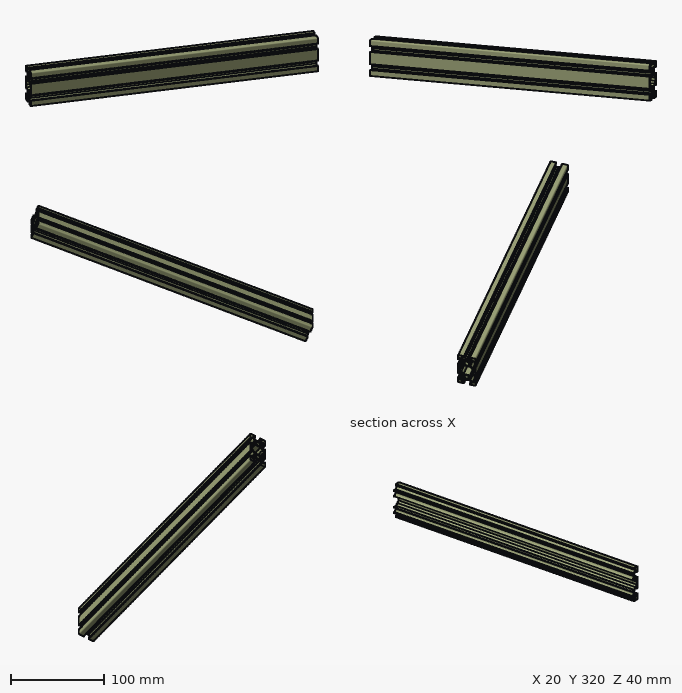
import cadquery as cq

LENGTH = 320
HEIGHT = 40.0
WIDTH = HEIGHT / 2
CELL_OFFSET = HEIGHT / 4
CORNER_RADIUS = 1.45
BORE_DIAMETER = 5.0

LIP_WIDTH = 6.7
SLOT_OPENING = WIDTH - 2 * LIP_WIDTH
LIP_THICKNESS = 1.8
UNDERCUT_WIDTH = 11.0
CORE_WIDTH = 8.0
FLOOR_WIDTH = 5.5

GROOVE_WIDTH = 1.0
GROOVE_DEPTH = 0.3

CAVITY_WIDTH = 16.0
CAVITY_HEIGHT = 12.5
CAVITY_CHAMFER = 4.5


def extrude_outline(points):
    """Extrude a closed XZ outline over the full length, centred on Y."""
    return cq.Workplane("XZ").polyline(points).close().extrude(LENGTH / 2, both=True)


def bar(width, height):
    """Full-length rectangular bar centred on the origin."""
    return cq.Workplane("XY").box(width, LENGTH, height)


def t_slot():
    """Cutter for one slot of a cell centred on the origin, open towards +Z."""
    face = WIDTH / 2
    floor = CORE_WIDTH / 2
    lip = face - LIP_THICKNESS
    undercut = UNDERCUT_WIDTH / 2
    web_top = floor + undercut - FLOOR_WIDTH / 2
    right_half = [
        (GROOVE_WIDTH / 2, floor),
        (FLOOR_WIDTH / 2, floor),
        (undercut, web_top),
        (undercut, lip),
        (SLOT_OPENING / 2, lip),
        (SLOT_OPENING / 2, face),
    ]
    left_half = [(-x, z) for x, z in reversed(right_half)]
    return extrude_outline([(0, floor - GROOVE_DEPTH)] + right_half + left_half)


def cell_cuts(side):
    """Two side slots, one end slot and the bore of the upper (+1) or lower (-1) cell."""
    cuts = cq.Workplane("XZ").circle(BORE_DIAMETER / 2).extrude(LENGTH / 2, both=True)
    end_slot_angle = 0 if side > 0 else 180
    for angle in (90, -90, end_slot_angle):
        cuts = cuts.add(t_slot().rotate((0, 0, 0), (0, 1, 0), angle))
    return cuts.combine().translate((0, 0, side * CELL_OFFSET))


cavity = bar(CAVITY_WIDTH, CAVITY_HEIGHT).edges("|Y").chamfer(CAVITY_CHAMFER)

result = bar(WIDTH, HEIGHT).edges("|Y").fillet(CORNER_RADIUS).cut(cavity)
for side in (1, -1):
    result = result.cut(cell_cuts(side))